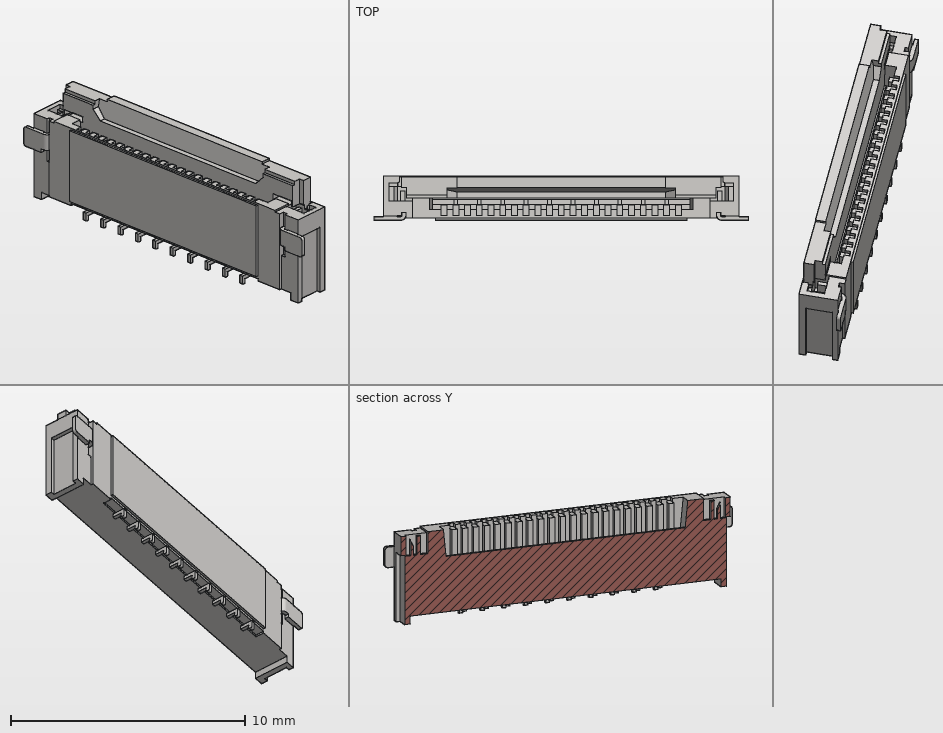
import cadquery as cq


HALF_LENGTH = 7.6
BACK_Y = 1.9
HOUSING_TOP = 4.02
FOOT_BOTTOM = 0.05
BODY_BOTTOM = 0.4
FOOT_WIDTH = 0.44
SIDE_FRONT_Y = 0.2
OVERLAP = 0.1

WALL_HALF_LENGTH = 6.63
WALL_FRONT_Y = 0.1
WALL_TOP = 4.1
WALL_RAISED_HALF_LENGTH = 6.36
COVER_HALF_LENGTH = 5.37
COVER_BOTTOM = 0.64
PIN_RECESS_TOP = 0.5
PIN_RECESS_DEPTH = 0.5

SLOT_FRONT_Y = 0.46
SLOT_STEP_Y = 0.69
SLOT_BACK_Y = 0.89
SLOT_HALF_LENGTH = 5.62
SLOT_INNER_HALF_LENGTH = 5.5
SLOT_LEAD_IN_DEPTH = 1.2
SLOT_STEP_DEPTH = 1.8
SLOT_DEPTH = 3.0

BAR_FRONT_Y = 0.96
BAR_SIDE_STEP_Y = 1.4
BAR_BACK_Y = 1.85
BAR_TOP = 5.2
BAR_BOTTOM = 3.0
BAR_HALF_LENGTH = 6.83
BAR_FRONT_HALF_LENGTH = 6.6
BAR_EDGE_STEP_Y = 1.09
BAR_EDGE_STEP_Z = 5.04
RIDGE_TOP = 5.3
RIDGE_HALF_LENGTH = 4.46
RECESS_HALF_LENGTH = 4.88
RECESS_CORNER = 0.42
RECESS_BOTTOM = 4.43
RECESS_BOTTOM_Y = 1.22
NOTCH_INNER_X = 5.48
NOTCH_OUTER_FRONT_X = 6.53
NOTCH_OUTER_BACK_X = 6.45
NOTCH_TOP = 4.28
NOTCH_BACK_Y = 1.38

POCKET_OUTER_X = 7.35
POCKET_FRONT_Y = 0.84
POCKET_BACK_Y = 1.6
POCKET_LEDGE_Y = 1.45
POCKET_LEDGE_DEPTH = 0.2
POCKET_DEPTH = 0.9
POCKET_RAMP_OUTER_X = 7.14
POCKET_RAMP_INNER_X = 7.0
POCKET_RAMP_STEP = 0.4
RELIEF_OUTER_X = 6.98
RELIEF_NECK_X = 6.9
RELIEF_NECK_Y = 1.66
LATCH_INNER_X = 6.68
LATCH_OUTER_X = 6.86
LATCH_BACK_Y = 1.25
LATCH_TOP = 3.95

END_RECESS_FRONT_Y = 0.43
END_RECESS_BACK_Y = 1.6
END_RECESS_TOP = 3.15
END_RECESS_DEPTH = 0.18

TAB_END_X = 8.0
TAB_THICKNESS = 0.17
TAB_BOTTOM = 2.43
TAB_TOP = 3.35
TAB_CORNER_RADIUS = 0.13
TAB_NECK_X = 7.0
TAB_NECK_BOTTOM = 2.6
TAB_BEND_RADIUS = 0.24
GROOVE_OUTER_X = 6.83
GROOVE_BACK_Y = 0.34
GROOVE_BOTTOM = 2.0

CONTACT_PITCH = 0.5
CONTACT_COUNT = 21
CONTACT_WIDTH = 0.25
CONTACT_FRONT_Y = 0.22
CONTACT_BACK_Y = 0.66
CONTACT_DROP = 0.15
TIP_PITCH = 2 * CONTACT_PITCH
TIP_COUNT = 10
TIP_WIDTH = 0.16
TIP_DROP = 0.2
PIN_WIDTH = 0.16
PIN_THICKNESS = 0.17
PIN_TOP = 0.4
PIN_LEG_BOTTOM = 0.22
PIN_TIP_RADIUS = 0.05


def box(x0, x1, y0, y1, z0, z1):
    """Box between two corners."""
    return cq.Workplane("XY").box(x1 - x0, y1 - y0, z1 - z0, centered=False).translate((x0, y0, z0))


def centred_box(half_length, y0, y1, z0, z1):
    """Box symmetric about X = 0."""
    return box(-half_length, half_length, y0, y1, z0, z1)


def prism(points, z0, z1):
    """Vertical prism over an outline in X and Y."""
    return cq.Workplane("XY").workplane(offset=z0).polyline(points).close().extrude(z1 - z0)


def both_ends(shape):
    """The shape at +X together with its mirror image at -X."""
    return shape.union(shape.mirror("YZ"))


def row_positions(count, pitch):
    """X positions of an evenly spaced row centred on X = 0."""
    return [(i - (count - 1) / 2) * pitch for i in range(count)]


def make_housing():
    body = centred_box(HALF_LENGTH, SIDE_FRONT_Y, BACK_Y, BODY_BOTTOM, HOUSING_TOP)
    foot = box(HALF_LENGTH - FOOT_WIDTH, HALF_LENGTH, SIDE_FRONT_Y, BACK_Y, FOOT_BOTTOM, BODY_BOTTOM)
    wall = centred_box(WALL_HALF_LENGTH, WALL_FRONT_Y, BAR_FRONT_Y, BODY_BOTTOM, HOUSING_TOP)
    raised = centred_box(WALL_RAISED_HALF_LENGTH, WALL_FRONT_Y, BAR_FRONT_Y, BODY_BOTTOM, WALL_TOP)
    cover = centred_box(COVER_HALF_LENGTH, 0, WALL_FRONT_Y + OVERLAP, COVER_BOTTOM, HOUSING_TOP)
    pin_recess = centred_box(COVER_HALF_LENGTH, 0, PIN_RECESS_DEPTH, BODY_BOTTOM, PIN_RECESS_TOP)
    end_recess = box(
        HALF_LENGTH - END_RECESS_DEPTH, HALF_LENGTH,
        END_RECESS_FRONT_Y, END_RECESS_BACK_Y, FOOT_BOTTOM, END_RECESS_TOP,
    )
    housing = body.union(both_ends(foot)).union(wall).union(raised).union(cover)
    return housing.cut(pin_recess).cut(both_ends(end_recess))


def make_pocket_ledge():
    """Shallow part of the pocket at +X: a ledge at the back and a relief beside the bar."""
    floor = HOUSING_TOP - POCKET_LEDGE_DEPTH
    ledge = box(
        POCKET_RAMP_INNER_X, POCKET_OUTER_X, POCKET_LEDGE_Y, POCKET_BACK_Y, floor, HOUSING_TOP
    )
    relief = prism(
        [
            (BAR_FRONT_HALF_LENGTH, POCKET_LEDGE_Y),
            (RELIEF_OUTER_X, POCKET_LEDGE_Y),
            (RELIEF_OUTER_X, POCKET_BACK_Y),
            (RELIEF_NECK_X, RELIEF_NECK_Y),
            (RELIEF_NECK_X, BAR_BACK_Y),
            (BAR_FRONT_HALF_LENGTH, BAR_BACK_Y),
        ],
        floor, HOUSING_TOP,
    )
    return ledge.union(relief)


def make_deep_pocket():
    """Deep part of the pocket at +X, leaving an inward-facing ramp and a latch post standing in it."""
    floor = HOUSING_TOP - POCKET_DEPTH
    pocket = box(
        WALL_RAISED_HALF_LENGTH, POCKET_OUTER_X, POCKET_FRONT_Y, POCKET_LEDGE_Y, floor, HOUSING_TOP
    )
    ramp = (
        cq.Workplane("XZ", origin=(0, POCKET_FRONT_Y, 0))
        .polyline([
            (POCKET_RAMP_INNER_X, floor),
            (POCKET_RAMP_OUTER_X, floor),
            (POCKET_RAMP_OUTER_X, HOUSING_TOP - POCKET_LEDGE_DEPTH),
            (POCKET_RAMP_INNER_X, floor + POCKET_RAMP_STEP),
        ])
        .close()
        .extrude(POCKET_FRONT_Y - POCKET_LEDGE_Y)
    )
    latch = box(LATCH_INNER_X, LATCH_OUTER_X, POCKET_FRONT_Y, LATCH_BACK_Y, floor, LATCH_TOP)
    return pocket.cut(ramp).cut(latch)


def make_slot():
    """Cable slot: lead-in at both ends, a step at the back, and a deep channel."""
    lead_in = (
        cq.Workplane("XZ", origin=(0, SLOT_FRONT_Y, 0))
        .polyline([
            (-SLOT_HALF_LENGTH, WALL_TOP),
            (SLOT_HALF_LENGTH, WALL_TOP),
            (SLOT_INNER_HALF_LENGTH, WALL_TOP - SLOT_LEAD_IN_DEPTH),
            (-SLOT_INNER_HALF_LENGTH, WALL_TOP - SLOT_LEAD_IN_DEPTH),
        ])
        .close()
        .extrude(SLOT_FRONT_Y - BAR_FRONT_Y)
    )
    upper = centred_box(
        SLOT_INNER_HALF_LENGTH, SLOT_FRONT_Y, SLOT_BACK_Y, WALL_TOP - SLOT_STEP_DEPTH, WALL_TOP
    )
    channel = centred_box(SLOT_INNER_HALF_LENGTH, SLOT_FRONT_Y, SLOT_STEP_Y, WALL_TOP - SLOT_DEPTH, WALL_TOP)
    return lead_in.union(upper).union(channel)


def make_bar():
    back = centred_box(BAR_HALF_LENGTH, BAR_SIDE_STEP_Y, BAR_BACK_Y, BAR_BOTTOM, BAR_TOP)
    front = centred_box(BAR_FRONT_HALF_LENGTH, BAR_FRONT_Y, BAR_SIDE_STEP_Y, BAR_BOTTOM, BAR_TOP)
    ridge = centred_box(RIDGE_HALF_LENGTH, BAR_FRONT_Y, BAR_BACK_Y, BAR_BOTTOM, RIDGE_TOP)
    edge_step = centred_box(BAR_FRONT_HALF_LENGTH, BAR_FRONT_Y, BAR_EDGE_STEP_Y, BAR_EDGE_STEP_Z, BAR_TOP)
    notch = prism(
        [
            (NOTCH_INNER_X, BAR_FRONT_Y),
            (NOTCH_OUTER_FRONT_X, BAR_FRONT_Y),
            (NOTCH_OUTER_BACK_X, NOTCH_BACK_Y),
            (NOTCH_INNER_X, NOTCH_BACK_Y),
        ],
        HOUSING_TOP, NOTCH_TOP,
    )
    bar = back.union(front).union(ridge)
    return bar.cut(edge_step).cut(both_ends(notch)).cut(make_grip_recess())


def make_grip_recess():
    """Recess in the bar's front face: cut corners at the bottom and a back that leans away."""
    corner_x = RECESS_HALF_LENGTH - RECESS_CORNER
    corner_z = RECESS_BOTTOM + RECESS_CORNER
    outline = (
        cq.Workplane("XZ", origin=(0, BAR_FRONT_Y, 0))
        .polyline([
            (-RECESS_HALF_LENGTH, RIDGE_TOP),
            (-RECESS_HALF_LENGTH, corner_z),
            (-corner_x, RECESS_BOTTOM),
            (corner_x, RECESS_BOTTOM),
            (RECESS_HALF_LENGTH, corner_z),
            (RECESS_HALF_LENGTH, RIDGE_TOP),
        ])
        .close()
        .extrude(BAR_FRONT_Y - BAR_SIDE_STEP_Y)
    )
    leaning_side = (
        cq.Workplane("YZ", origin=(-RECESS_HALF_LENGTH, 0, 0))
        .polyline([
            (BAR_FRONT_Y, RECESS_BOTTOM),
            (RECESS_BOTTOM_Y, RECESS_BOTTOM),
            (BAR_SIDE_STEP_Y, RIDGE_TOP),
            (BAR_FRONT_Y, RIDGE_TOP),
        ])
        .close()
        .extrude(2 * RECESS_HALF_LENGTH)
    )
    return outline.intersect(leaning_side)


def make_tab_groove():
    return box(WALL_HALF_LENGTH, GROOVE_OUTER_X, SIDE_FRONT_Y, GROOVE_BACK_Y, GROOVE_BOTTOM, HOUSING_TOP)


def make_tab():
    """Solder tab at +X: a flat plate with a neck that bends back into the housing."""
    bend_x = WALL_HALF_LENGTH + TAB_BEND_RADIUS
    flat = (
        box(TAB_NECK_X, TAB_END_X, 0, TAB_THICKNESS, TAB_BOTTOM, TAB_TOP)
        .edges("|Y and >X")
        .fillet(TAB_CORNER_RADIUS)
    )
    seat = box(TAB_NECK_X, HALF_LENGTH, TAB_THICKNESS, SIDE_FRONT_Y, TAB_BOTTOM, TAB_TOP)
    inner_radius = TAB_BEND_RADIUS - TAB_THICKNESS
    back_y = GROOVE_BACK_Y + OVERLAP
    half_root = 0.5 ** 0.5
    outer_mid = TAB_BEND_RADIUS * half_root
    inner_mid = inner_radius * half_root
    neck = (
        cq.Workplane("XY", origin=(0, 0, TAB_NECK_BOTTOM))
        .moveTo(TAB_NECK_X, 0)
        .lineTo(bend_x, 0)
        .threePointArc(
            (bend_x - outer_mid, TAB_BEND_RADIUS - outer_mid), (WALL_HALF_LENGTH, TAB_BEND_RADIUS)
        )
        .lineTo(WALL_HALF_LENGTH, back_y)
        .lineTo(WALL_HALF_LENGTH + TAB_THICKNESS, back_y)
        .lineTo(WALL_HALF_LENGTH + TAB_THICKNESS, TAB_BEND_RADIUS)
        .threePointArc((bend_x - inner_mid, TAB_BEND_RADIUS - inner_mid), (bend_x, TAB_THICKNESS))
        .lineTo(TAB_NECK_X, TAB_THICKNESS)
        .close()
        .extrude(TAB_TOP - TAB_NECK_BOTTOM)
    )
    return flat.union(seat).union(neck)


def make_contact(x):
    half = CONTACT_WIDTH / 2
    bottom = WALL_TOP - SLOT_DEPTH
    return box(x - half, x + half, CONTACT_FRONT_Y, CONTACT_BACK_Y, bottom, WALL_TOP - CONTACT_DROP)


def make_contact_groove(x):
    half = CONTACT_WIDTH / 2
    return box(x - half, x + half, CONTACT_FRONT_Y, SLOT_FRONT_Y, WALL_TOP - CONTACT_DROP, WALL_TOP)


def make_contact_tip(x):
    half = TIP_WIDTH / 2
    bottom = WALL_TOP - SLOT_STEP_DEPTH
    top = WALL_TOP - SLOT_LEAD_IN_DEPTH - TIP_DROP
    return box(x - half, x + half, SLOT_STEP_Y, SLOT_BACK_Y, bottom, top)


def make_pin(x):
    """L-shaped pin: a leg running back under the housing and a foot turned down at the front."""
    foot = box(x - PIN_WIDTH / 2, x + PIN_WIDTH / 2, 0, PIN_THICKNESS, 0, PIN_TOP)
    foot = foot.edges("|X and <Z").fillet(PIN_TIP_RADIUS)
    leg = box(
        x - PIN_WIDTH / 2, x + PIN_WIDTH / 2,
        PIN_THICKNESS, PIN_RECESS_DEPTH + OVERLAP, PIN_LEG_BOTTOM, PIN_TOP,
    )
    root = box(
        x - PIN_WIDTH / 2, x + PIN_WIDTH / 2,
        PIN_RECESS_DEPTH, PIN_RECESS_DEPTH + OVERLAP, PIN_LEG_BOTTOM, PIN_RECESS_TOP,
    )
    return foot.union(leg).union(root)


result = make_housing().cut(make_slot())
result = result.cut(both_ends(make_tab_groove())).cut(both_ends(make_pocket_ledge()))
result = result.union(make_bar()).cut(both_ends(make_deep_pocket()))
result = result.union(both_ends(make_tab()))
for contact_x in row_positions(CONTACT_COUNT, CONTACT_PITCH):
    result = result.cut(make_contact_groove(contact_x)).union(make_contact(contact_x))
for tip_x in row_positions(TIP_COUNT, TIP_PITCH):
    result = result.union(make_contact_tip(tip_x)).union(make_pin(tip_x))